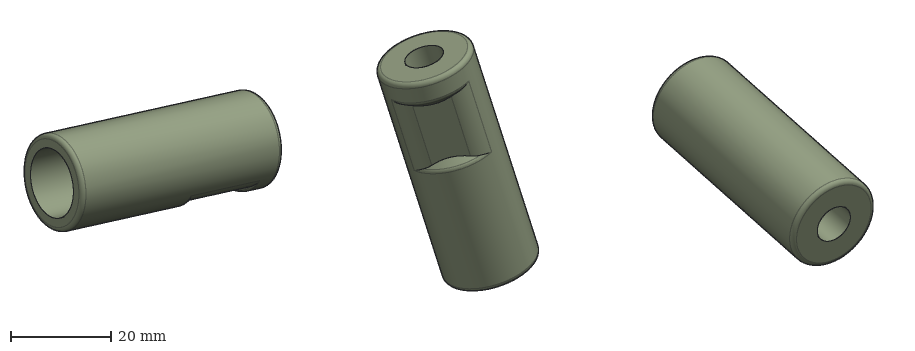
import cadquery as cq
import math

outer_diameter = 20.0
length = 50.0
end_round = 1.0
outer_radius = outer_diameter / 2
front_face = -length / 2
back_face = length / 2

wide_bore_diameter = 14.3
wide_bore_depth = length / 2
narrow_bore_diameter = 8.0

recess_depth = 2.0
recess_length = 17.0
recess_back_margin = 4.4
recess_side_round = 5.0
recess_end_round = 1.0
recess_end_slope = math.radians(50)
cut_clearance = 1.0


def cylinder_along_y(diameter, start_y, height):
    plane = cq.Plane(origin=(0, start_y, 0), xDir=(1, 0, 0), normal=(0, 1, 0))
    return cq.Workplane(plane).circle(diameter / 2).extrude(height)


def make_sleeve():
    body = cylinder_along_y(outer_diameter, front_face, length)
    body = body.faces("<Y or >Y").edges().fillet(end_round)
    wide_bore = cylinder_along_y(wide_bore_diameter, front_face, wide_bore_depth)
    narrow_bore = cylinder_along_y(narrow_bore_diameter, front_face, length)
    return body.cut(wide_bore).cut(narrow_bore)


def make_recess_trough(start_y, end_y):
    """Flat floor whose long edges roll convexly into the outer cylinder."""
    floor_z = recess_depth - outer_radius
    below_z = -outer_radius - cut_clearance
    round_z = floor_z + recess_side_round
    round_x = math.sqrt((outer_radius - recess_side_round) ** 2 - round_z**2)
    side_angle = math.atan2(-round_z, round_x)
    side_x = outer_radius * math.cos(side_angle)
    side_z = -outer_radius * math.sin(side_angle)
    middle_angle = (side_angle + math.pi / 2) / 2
    middle_x = round_x + recess_side_round * math.cos(middle_angle)
    middle_z = round_z - recess_side_round * math.sin(middle_angle)
    plane = cq.Plane(origin=(0, start_y, 0), xDir=(1, 0, 0), normal=(0, -1, 0))
    return (
        cq.Workplane(plane)
        .moveTo(-round_x, floor_z)
        .lineTo(round_x, floor_z)
        .threePointArc((middle_x, middle_z), (side_x, side_z))
        .lineTo(side_x, below_z)
        .lineTo(-side_x, below_z)
        .lineTo(-side_x, side_z)
        .threePointArc((-middle_x, middle_z), (-round_x, floor_z))
        .close()
        .extrude(start_y - end_y)
    )


def make_recess_ends(start_y, end_y):
    """Ring about Y whose ends slope inward, rounded where they meet the outer cylinder."""
    outside_radius = outer_radius + cut_clearance
    inside_radius = outer_radius - recess_depth - cut_clearance
    half_slope = recess_end_slope / 2
    mid_round_inset = recess_end_round * math.sin(half_slope)
    mid_round_radius = outer_radius - recess_end_round * (1 - math.cos(half_slope))
    round_inset = recess_end_round * math.sin(recess_end_slope)
    round_radius = outer_radius - recess_end_round * (1 - math.cos(recess_end_slope))
    foot_inset = round_inset + (round_radius - inside_radius) / math.tan(recess_end_slope)
    return (
        cq.Workplane("XY")
        .moveTo(outside_radius, start_y)
        .lineTo(outer_radius, start_y)
        .threePointArc(
            (mid_round_radius, start_y + mid_round_inset),
            (round_radius, start_y + round_inset),
        )
        .lineTo(inside_radius, start_y + foot_inset)
        .lineTo(inside_radius, end_y - foot_inset)
        .lineTo(round_radius, end_y - round_inset)
        .threePointArc((mid_round_radius, end_y - mid_round_inset), (outer_radius, end_y))
        .lineTo(outside_radius, end_y)
        .close()
        .revolve(360, (0, 0, 0), (0, 1, 0))
    )


def make_recess():
    end_y = back_face - recess_back_margin
    start_y = end_y - recess_length
    return make_recess_trough(start_y, end_y).intersect(make_recess_ends(start_y, end_y))


result = make_sleeve().cut(make_recess())